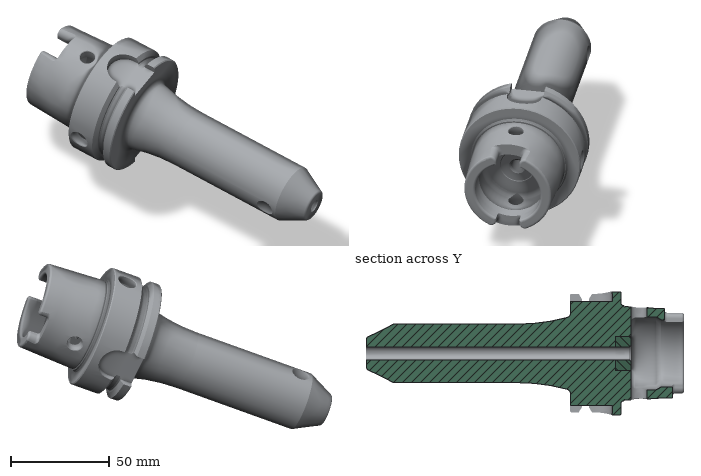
import cadquery as cq
import math

length = 161.9

taper_front_radius = 22.5
taper_end_radius = 24.0
taper_length = 30.0
taper_rim_fillet = 1.1
neck_depth = 0.3
neck_width = 0.6
seat_radius = 24.5
seat_corner = 0.6

flange_front = 32.0
flange_end = 58.0
flange_radius = 63.0 / 2
flange_chamfer = 0.5

groove_center = 50.2
groove_mouth = 6.8
groove_floor_width = 3.5
groove_floor_radius = 27.5
groove_wall_radius = 29.0
groove_ramp_width = 0.8
groove_ramp_rise = 0.3

shank_radius = 15.0
shank_start = 84.7
shank_end = 148.0
flare_radius = 18.3
flare_start = 60.0
flare_foot_radius = 20.4
flare_foot_middle = (flange_end + 0.73, flare_radius + 0.6)
tip_radius = 8.1
tip_fillet = 1.5

cavity_mouth_radius = 17.0
cavity_mouth_length = 11.7
undercut_radius = 18.5
undercut_angle = 30.0
cavity_depth = 26.9
cavity_floor_fillet = 2.6
coolant_radius = 3.2

plug_radius = 8.5
plug_length = 8.1
plug_seat_chamfer = 0.5
plug_hole_chamfer = 1.0

notch_half_width = 6.0
notch_shoulder_height = 20.5
notch_flank_radius = 2.9
notch_floor_fillet = 1.5
upper_notch_depth = 9.9
lower_notch_depth = 5.8

keyway_width = 17.8
keyway_floor_height = 26.5
keyway_start = 36.8

access_hole_x = 23.0
access_hole_radius = 3.9
chip_hole_x = 38.9
chip_hole_radius = 4.9
chip_hole_depth = 4.9
radial_hole_chamfer = 0.3

dimple_x = 141.5
dimple_radius = 5.5
dimple_offset = 17.8


def holder_blank():
    """Solid of revolution about X: taper, flange, flared neck and tapered nose."""
    run = shank_start - flare_start
    rise = flare_radius - shank_radius
    arc_radius = (run**2 + rise**2) / (2 * rise)
    half_sweep = math.asin(run / arc_radius) / 2
    flare_middle = (
        shank_start - arc_radius * math.sin(half_sweep),
        shank_radius + arc_radius * (1 - math.cos(half_sweep)),
    )
    neck_radius = taper_end_radius - neck_depth
    neck_end = taper_length + neck_width
    return (
        cq.Workplane("XY")
        .lineTo(0, taper_front_radius)
        .lineTo(taper_length, taper_end_radius)
        .lineTo(neck_end, neck_radius)
        .lineTo(neck_end, seat_radius)
        .lineTo(flange_front - seat_corner, seat_radius)
        .lineTo(flange_front, seat_radius + seat_corner)
        .lineTo(flange_front, flange_radius - flange_chamfer)
        .lineTo(flange_front + flange_chamfer, flange_radius)
        .lineTo(flange_end - flange_chamfer, flange_radius)
        .lineTo(flange_end, flange_radius - flange_chamfer)
        .lineTo(flange_end, flare_foot_radius)
        .threePointArc(flare_foot_middle, (flare_start, flare_radius))
        .threePointArc(flare_middle, (shank_start, shank_radius))
        .lineTo(shank_end, shank_radius)
        .lineTo(length, tip_radius)
        .lineTo(length, 0)
        .close()
        .revolve(360, (0, 0, 0), (1, 0, 0))
        .faces(">X")
        .edges()
        .fillet(tip_fillet)
    )


def groove_ring():
    """Ring of material removed by the V groove."""
    half_mouth = groove_mouth / 2
    half_floor = groove_floor_width / 2
    half_flat = half_floor - groove_ramp_width
    ramp_radius = groove_floor_radius + groove_ramp_rise
    return (
        cq.Workplane("XY")
        .moveTo(groove_center - half_mouth, flange_radius)
        .lineTo(groove_center - half_floor, groove_wall_radius)
        .lineTo(groove_center - half_floor, ramp_radius)
        .lineTo(groove_center - half_flat, groove_floor_radius)
        .lineTo(groove_center + half_flat, groove_floor_radius)
        .lineTo(groove_center + half_floor, ramp_radius)
        .lineTo(groove_center + half_floor, groove_wall_radius)
        .lineTo(groove_center + half_mouth, flange_radius)
        .close()
        .revolve(360, (0, 0, 0), (1, 0, 0))
    )


def cylinder_x(start, depth, radius):
    """Cylinder on the X axis."""
    return cq.Workplane("YZ", origin=(start, 0, 0)).circle(radius).extrude(depth)


def cavity():
    """Clamping cavity: a round mouth, then a conical shoulder into a wider undercut."""
    shoulder = (undercut_radius - cavity_mouth_radius) / math.tan(math.radians(undercut_angle))
    return (
        cq.Workplane("XY")
        .lineTo(0, cavity_mouth_radius)
        .lineTo(cavity_mouth_length, cavity_mouth_radius)
        .lineTo(cavity_mouth_length + shoulder, undercut_radius)
        .lineTo(cavity_depth, undercut_radius)
        .lineTo(cavity_depth, 0)
        .close()
        .revolve(360, (0, 0, 0), (1, 0, 0))
        .faces(">X")
        .edges()
        .fillet(cavity_floor_fillet)
    )


def notch(depth, side):
    """Driving notch with rounded flanks; side is +1 for +Z or -1 for -Z."""
    flank_top = notch_shoulder_height - notch_flank_radius
    shoulder = notch_half_width + notch_flank_radius
    reach = flange_radius
    bend = notch_flank_radius * math.sqrt(0.5)
    arc_y = shoulder - bend
    arc_z = flank_top + bend
    cutter = (
        cq.Workplane("YZ")
        .moveTo(-notch_half_width, 0)
        .lineTo(-notch_half_width, flank_top)
        .threePointArc((-arc_y, arc_z), (-shoulder, notch_shoulder_height))
        .lineTo(-reach, notch_shoulder_height)
        .lineTo(-reach, reach)
        .lineTo(reach, reach)
        .lineTo(reach, notch_shoulder_height)
        .lineTo(shoulder, notch_shoulder_height)
        .threePointArc((arc_y, arc_z), (notch_half_width, flank_top))
        .lineTo(notch_half_width, 0)
        .close()
        .extrude(depth)
        .faces(">X")
        .edges()
        .fillet(notch_floor_fillet)
    )
    return cutter if side > 0 else cutter.mirror("XY")


def keyway(side):
    """Keyway with a round inner end, open at the tool side of the flange."""
    radius = keyway_width / 2
    center = keyway_start + radius
    height = flange_radius - keyway_floor_height
    slot = (
        cq.Workplane("XY", origin=(0, 0, keyway_floor_height))
        .moveTo(flange_end, -radius)
        .lineTo(center, -radius)
        .threePointArc((keyway_start, 0), (center, radius))
        .lineTo(flange_end, radius)
        .close()
        .extrude(height)
    )
    return slot if side > 0 else slot.mirror("XY")


def break_rim(body, center, hole_radius):
    """Chamfer the outer rim of a radial hole; center is the middle of that rim."""
    reach = hole_radius / 4
    low = tuple(value - reach for value in center)
    high = tuple(value + reach for value in center)
    rim = body.edges(cq.selectors.BoxSelector(low, high))
    return rim.chamfer(radial_hole_chamfer)


def make_holder():
    """Tool holder with its cavity, notches, keyways and holes."""
    holder = holder_blank().cut(groove_ring())
    holder = holder.cut(cavity())

    holder = holder.cut(notch(upper_notch_depth, 1)).cut(notch(lower_notch_depth, -1))
    holder = holder.faces("<X").edges().fillet(taper_rim_fillet)

    seat_mouth = cylinder_x(cavity_depth, plug_seat_chamfer, plug_radius + plug_seat_chamfer)
    seat_mouth = seat_mouth.faces(">X").edges().chamfer(plug_seat_chamfer * 0.999)
    holder = holder.cut(cylinder_x(cavity_depth, plug_length, plug_radius)).cut(seat_mouth)
    holder = holder.cut(cylinder_x(cavity_depth, length - cavity_depth, coolant_radius))

    for side in (1, -1):
        holder = holder.cut(keyway(side))

    access_hole = (
        cq.Workplane("XY", origin=(access_hole_x, 0, -flange_radius))
        .circle(access_hole_radius)
        .extrude(2 * flange_radius)
    )
    chip_hole = (
        cq.Workplane("XZ", origin=(chip_hole_x, -flange_radius + chip_hole_depth, 0))
        .circle(chip_hole_radius)
        .extrude(chip_hole_depth)
    )
    dimple = cq.Workplane("XY", origin=(dimple_x, -dimple_offset, 0)).sphere(dimple_radius)
    holder = holder.cut(access_hole).cut(chip_hole).cut(dimple)

    for side in (1, -1):
        holder = break_rim(holder, (access_hole_x, 0, side * taper_end_radius), access_hole_radius)
    return break_rim(holder, (chip_hole_x, -flange_radius, 0), chip_hole_radius)


def make_plug():
    """Round plug with a chamfered through hole."""
    plug = cylinder_x(cavity_depth, plug_length, plug_radius)
    plug = plug.cut(cylinder_x(cavity_depth, plug_length, coolant_radius))
    rim = plug.faces("<X").edges(cq.selectors.RadiusNthSelector(0))
    return rim.chamfer(plug_hole_chamfer)


holder = make_holder()
plug = make_plug()
result = cq.Compound.makeCompound([holder.val(), plug.val()])